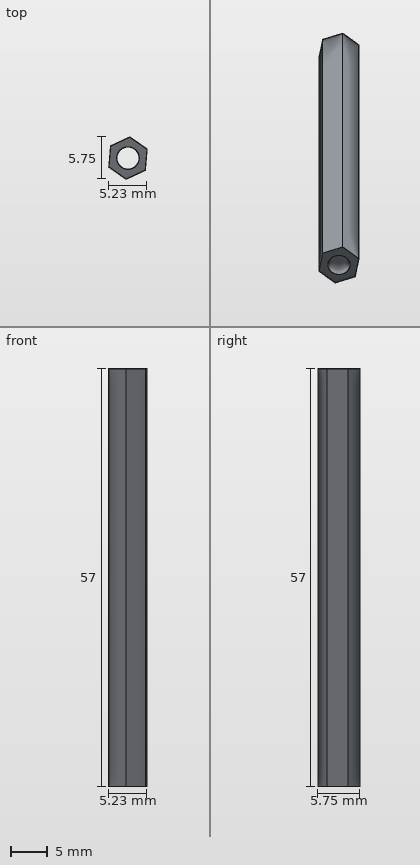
import cadquery as cq
import math

length = 57
across_flats = 5.0
bore_diameter = 3.0
corner_angle = 25

across_corners = across_flats / math.cos(math.radians(30))

hexagon_bar = (
    cq.Workplane("XY")
    .polygon(6, across_corners)
    .extrude(length)
    .rotate((0, 0, 0), (0, 0, 1), corner_angle)
)

bore = cq.Workplane("XY").circle(bore_diameter / 2).extrude(length)

result = hexagon_bar.cut(bore)